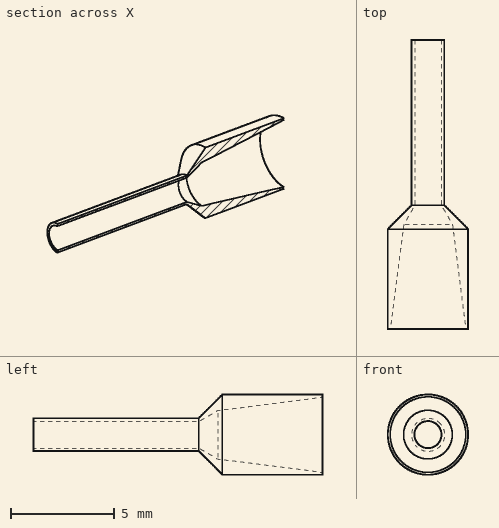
import cadquery as cq

total_length = 14.0
tube_length = 8.0
collar_diameter = 3.9
tube_diameter = 1.6
bore_diameter = 1.3
mouth_wall = 0.12
throat_diameter = 2.36
funnel_length = 0.92

collar_radius = collar_diameter / 2
tube_radius = tube_diameter / 2
bore_radius = bore_diameter / 2
mouth_radius = collar_radius - mouth_wall
throat_radius = throat_diameter / 2

mouth_y = -total_length / 2
tip_y = total_length / 2
tube_start_y = tip_y - tube_length
shoulder_y = tube_start_y - (collar_radius - tube_radius)
bore_start_y = tube_start_y
throat_y = bore_start_y - funnel_length


def make_body():
    """Solid collar, conical shoulder and tube."""
    profile = (
        cq.Workplane("XY")
        .moveTo(0, mouth_y)
        .lineTo(collar_radius, mouth_y)
        .lineTo(collar_radius, shoulder_y)
        .lineTo(tube_radius, tube_start_y)
        .lineTo(tube_radius, tip_y)
        .lineTo(0, tip_y)
        .close()
    )
    return profile.revolve(360, (0, 0), (0, 1))


def make_passage():
    """Tapered wire entry, funnel and through bore."""
    profile = (
        cq.Workplane("XY")
        .moveTo(0, mouth_y)
        .lineTo(mouth_radius, mouth_y)
        .lineTo(throat_radius, throat_y)
        .lineTo(bore_radius, bore_start_y)
        .lineTo(bore_radius, tip_y)
        .lineTo(0, tip_y)
        .close()
    )
    return profile.revolve(360, (0, 0), (0, 1))


result = make_body().cut(make_passage())